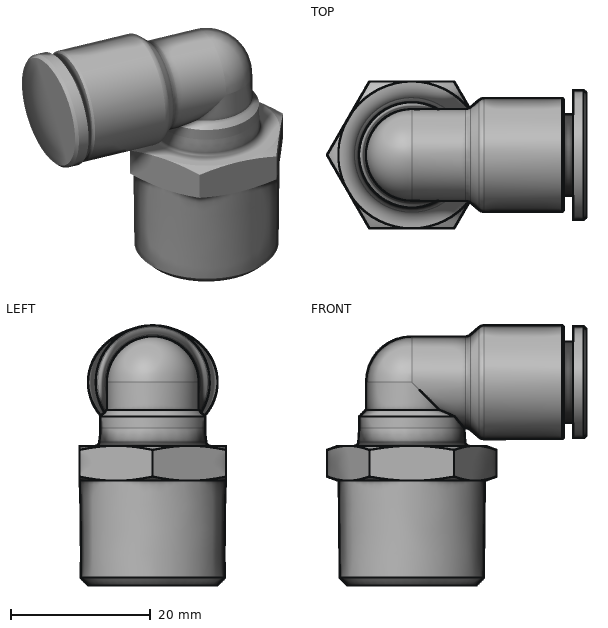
import cadquery as cq
import math

total_height = 37.25
branch_end_x = 25.0

spigot_height = 15.0
spigot_top_radius = 10.45
spigot_bottom_radius = 10.3
spigot_chamfer = 1.15

hex_across_flats = 21.0
hex_height = 5.0
hex_chamfer_angle = 20.0
hex_top_z = spigot_height + hex_height

neck_radius = 7.52
neck_base_radius = 7.67
neck_flare = 0.52
neck_taper_top_z = 22.57
neck_chamfer_base_z = 24.18

tube_radius = 6.55
socket_radius = 8.15
branch_z = total_height - socket_radius
shoulder_start_x = 8.1
shoulder_end_x = 9.95
shoulder_fillet = 1.1
socket_end_x = 21.8
socket_chamfer = 0.3

sleeve_radius = 5.85
collar_start_x = 23.05
collar_half_width = 9.28
collar_half_height = 8.0
collar_chamfer = 0.4


def make_spigot():
    profile = (
        cq.Workplane("XZ")
        .moveTo(0, 0)
        .lineTo(spigot_bottom_radius - spigot_chamfer, 0)
        .lineTo(spigot_bottom_radius, spigot_chamfer)
        .lineTo(spigot_top_radius, spigot_height)
        .lineTo(0, spigot_height)
        .close()
    )
    return profile.revolve(360, (0, 0, 0), (0, 1, 0))


def make_hex():
    flat_radius = hex_across_flats / 2
    corner_radius = flat_radius / math.cos(math.radians(30))
    corner_drop = (corner_radius - flat_radius) * math.tan(math.radians(hex_chamfer_angle))
    prism = (
        cq.Workplane("XY", origin=(0, 0, spigot_height))
        .polygon(6, 2 * corner_radius)
        .extrude(hex_height)
    )
    trimming_disc = (
        cq.Workplane("XZ")
        .moveTo(0, spigot_height)
        .lineTo(flat_radius, spigot_height)
        .lineTo(corner_radius, spigot_height + corner_drop)
        .lineTo(corner_radius, hex_top_z - corner_drop)
        .lineTo(flat_radius, hex_top_z)
        .lineTo(0, hex_top_z)
        .close()
        .revolve(360, (0, 0, 0), (0, 1, 0))
    )
    return prism.intersect(trimming_disc)


def make_stem():
    tube_start_z = neck_chamfer_base_z + neck_radius - tube_radius
    profile = (
        cq.Workplane("XZ")
        .moveTo(0, hex_top_z)
        .lineTo(neck_base_radius + neck_flare, hex_top_z)
        .radiusArc((neck_base_radius, hex_top_z + neck_flare), neck_flare)
        .lineTo(neck_radius, neck_taper_top_z)
        .lineTo(neck_radius, neck_chamfer_base_z)
        .lineTo(tube_radius, tube_start_z)
        .lineTo(tube_radius, branch_z)
        .lineTo(0, branch_z)
        .close()
    )
    return profile.revolve(360, (0, 0, 0), (0, 1, 0))


def make_branch():
    profile = (
        cq.Workplane("XZ", origin=(0, 0, branch_z))
        .moveTo(0, 0)
        .lineTo(0, tube_radius)
        .lineTo(shoulder_start_x, tube_radius)
        .lineTo(shoulder_end_x, socket_radius)
        .lineTo(socket_end_x - socket_chamfer, socket_radius)
        .lineTo(socket_end_x, socket_radius - socket_chamfer)
        .lineTo(socket_end_x, sleeve_radius)
        .lineTo(collar_start_x, sleeve_radius)
        .lineTo(collar_start_x, 0)
        .close()
    )
    branch = profile.revolve(360, (0, 0, 0), (1, 0, 0))
    reach = socket_radius + shoulder_fillet
    shoulder_box = cq.selectors.BoxSelector(
        (shoulder_start_x - shoulder_fillet, -reach, branch_z - reach),
        (shoulder_end_x + shoulder_fillet, reach, branch_z + reach),
        boundingbox=True,
    )
    shoulder_edges = branch.edges(shoulder_box).edges("%CIRCLE")
    return shoulder_edges.fillet(shoulder_fillet)


def make_collar():
    collar = (
        cq.Workplane("YZ", origin=(collar_start_x, 0, branch_z))
        .ellipse(collar_half_width, collar_half_height)
        .extrude(branch_end_x - collar_start_x)
    )
    return collar.faces(">X").edges().chamfer(collar_chamfer)


elbow_corner = cq.Workplane("XY").sphere(tube_radius).translate((0, 0, branch_z))

result = (
    make_stem()
    .union(elbow_corner)
    .union(make_branch())
    .union(make_collar())
    .union(make_hex())
    .union(make_spigot())
)